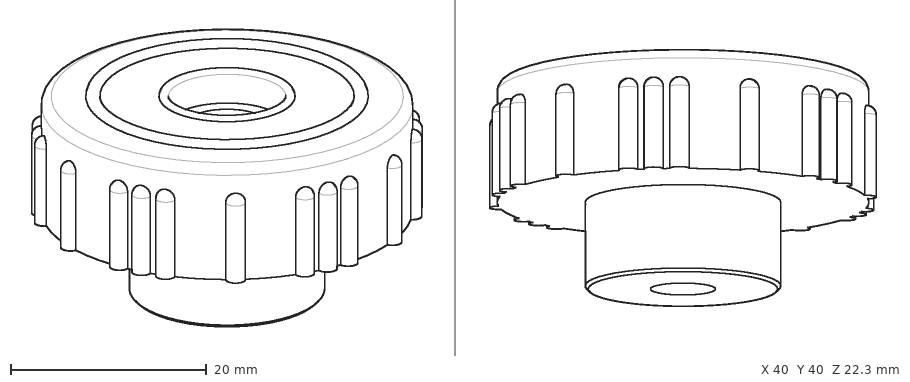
import cadquery as cq

overall_diameter = 40.0
head_diameter = 38.0
hub_diameter = 20.0
bore_diameter = 6.65
counterbore_diameter = 12.0

overall_height = 22.25
hub_height = 9.0
hub_chamfer = 0.3
head_edge_radius = 1.0

outer_ring_radius = 13.7
outer_ring_bead = 0.7
inner_ring_bead = 0.48
face_height = overall_height - outer_ring_bead

counterbore_depth = 3.2
bore_chamfer = 1.0

rib_radius = (overall_diameter - head_diameter) / 2
rib_shoulder_height = 17.5
rib_group_step = 60
rib_spread_angle = 8


def make_body():
    hub = cq.Workplane("XY").circle(hub_diameter / 2).extrude(hub_height)
    hub = hub.faces("<Z").edges().chamfer(hub_chamfer)
    head = (
        cq.Workplane("XY", origin=(0, 0, hub_height))
        .circle(head_diameter / 2)
        .extrude(face_height - hub_height)
        .faces(">Z").edges().fillet(head_edge_radius)
    )
    return hub.union(head)


def make_ring(centre_radius, bead_radius):
    """Half-round bead standing on the top face."""
    return (
        cq.Workplane("XZ")
        .moveTo(centre_radius - bead_radius, face_height)
        .threePointArc(
            (centre_radius, face_height + bead_radius),
            (centre_radius + bead_radius, face_height),
        )
        .close()
        .revolve(360, (0, 0, 0), (0, 1, 0))
    )


def make_rib(angle):
    """Vertical rib with a domed upper end."""
    rib = (
        cq.Workplane("XY", origin=(head_diameter / 2, 0, hub_height))
        .circle(rib_radius)
        .extrude(rib_shoulder_height - hub_height)
    )
    dome = cq.Workplane("XY", origin=(head_diameter / 2, 0, rib_shoulder_height)).sphere(rib_radius)
    return rib.union(dome).rotate((0, 0, 0), (0, 0, 1), angle)


def make_hole():
    """Through bore, its countersunk mouth and the counterbore above it."""
    bore_radius = bore_diameter / 2
    floor_height = face_height - counterbore_depth
    return (
        cq.Workplane("XZ")
        .moveTo(0, 0)
        .lineTo(bore_radius, 0)
        .lineTo(bore_radius, floor_height - bore_chamfer)
        .lineTo(bore_radius + bore_chamfer, floor_height)
        .lineTo(counterbore_diameter / 2, floor_height)
        .lineTo(counterbore_diameter / 2, overall_height)
        .lineTo(0, overall_height)
        .close()
        .revolve(360, (0, 0, 0), (0, 1, 0))
    )


result = make_body()
result = result.union(make_ring(outer_ring_radius, outer_ring_bead))
result = result.union(make_ring(counterbore_diameter / 2 + inner_ring_bead, inner_ring_bead))

for group_angle in range(0, 360, rib_group_step):
    for offset in (-rib_spread_angle, 0, rib_spread_angle, rib_group_step / 2):
        result = result.union(make_rib(group_angle + offset))

result = result.cut(make_hole())